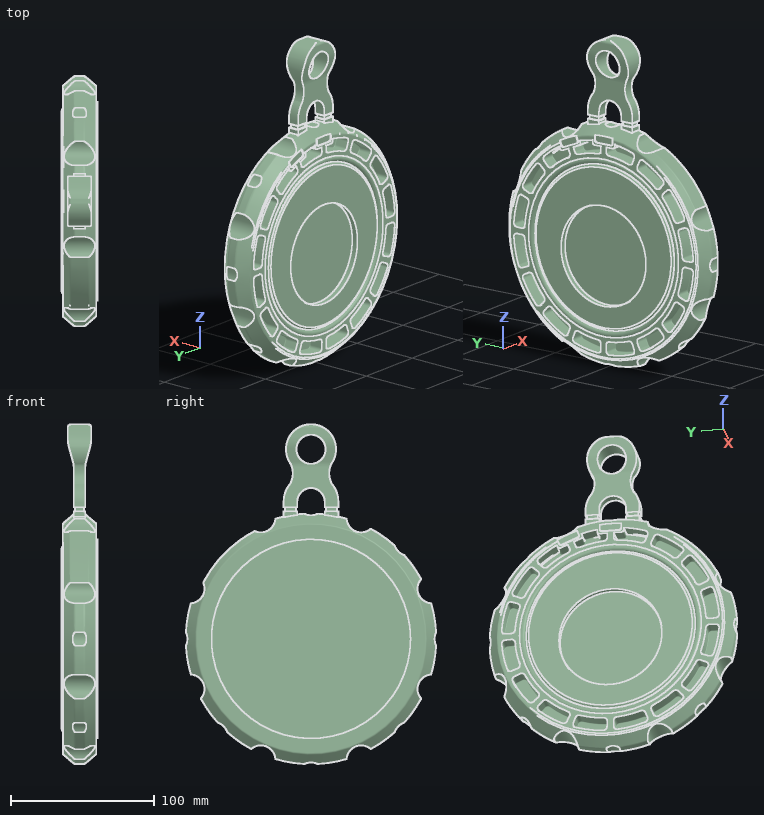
import cadquery as cq
import math


RIM_RADIUS = 87.5
RIDGE_HALF_WIDTH = 3.44
RIDGE_ROUND = 2.1
FACE_RADIUS = 80.4
FACE_ROUND = 1.7
FACE_X = 11.9
OUTER_X = 12.5
BACK_DISC_RADIUS = 139.0 / 2

BEAD_OUTER_RADIUS = 129.0 / 2
BEAD_CREST_RADIUS = 62.5
BEAD_INNER_RADIUS = 60.0
BEAD_GROOVE_X = 10.5
BEAD_ROOT = 1.2
PANEL_RADIUS = 116.1 / 2
DIAL_RADIUS = 73.0 / 2
DIAL_DROP = 6.0
DIAL_DEPTH = 4.7

SECTOR = 45
FLAT_SECTOR_ANGLE = 135
FLAT_SECTOR_RADIUS = 84.9
BIG_NOTCH_RADIUS = 20.1 / 2
BIG_NOTCH_FLOOR = 81.3
SMALL_NOTCH_RADIUS = 11.0
SMALL_NOTCH_FLOOR = 86.3

POCKET_COUNT = 16
POCKET_INNER_RADIUS = 67.8
POCKET_OUTER_RADIUS = 77.3
POCKET_SPAN = 18.8
POCKET_FLOOR_X = -1.2
POCKET_CORNER = 2.5
POCKET_FLOOR_ROUND = 0.6

PAD_ANGLES = (90, 67.5)
PAD_WIDTH = 15.2
PAD_INNER_RADIUS = 75.4
PAD_DEPTH = 0.7
PAD_CORNER = 1.7
PAD_WALL = 2.0

LUG_HEIGHT = 62.22
TOP_Z = RIM_RADIUS + LUG_HEIGHT
EYE_FLAT_DROP = 0.07
EYE_RADIUS = 17.5
EYE_HOLE_DIAMETER = 20.1
EYE_Z = TOP_Z + EYE_FLAT_DROP - EYE_RADIUS
EYE_HALF_WIDTH = 8.3
EYE_TOP_ROUND = 2.4
FLARE_TOP_Z = 136.65
FLARE_TOP_ROUND = 27.0
FLARE_BOTTOM_Z = 121.72
FLARE_BOTTOM_ROUND = 12.3
LUG_HALF_WIDTH = 4.15
ARCH_Z = 95.65
ARCH_OUTER_RADIUS = 19.2
ARCH_INNER_RADIUS = 9.5
WAIST_HALF_WIDTH = 12.8
WAIST_TOP_Z = FLARE_BOTTOM_Z
WAIST_BOTTOM_Z = 108.0
LEG_BOTTOM_Z = 91.7
STUB_TOP_Z = 89.0
STUB_BOTTOM_Z = 81.8
NECK_INSET = 1.0
NECK_ROUND = 0.6

PICK_MARGIN = 0.2


def polar(radius, degrees):
    """Point in the YZ plane, with the angle measured from +Y toward +Z."""
    angle = math.radians(degrees)
    return radius * math.cos(angle), radius * math.sin(angle)


def prism(x_start, x_end):
    """YZ workplane at x_start and the length to extrude to reach x_end."""
    return cq.Workplane("YZ", origin=(x_start, 0, 0)), x_end - x_start


def ring_sector(x_start, x_end, inner, outer, middle, span):
    plane, length = prism(x_start, x_end)
    first = middle - span / 2
    last = middle + span / 2
    return (
        plane.moveTo(*polar(inner, first))
        .lineTo(*polar(outer, first))
        .threePointArc(polar(outer, middle), polar(outer, last))
        .lineTo(*polar(inner, last))
        .threePointArc(polar(inner, middle), polar(inner, first))
        .close()
        .extrude(length)
    )


def revolve_about_x(profile):
    return profile.revolve(360, (0, 0, 0), (1, 0, 0))


def edges_within(shape, half_width):
    """Edges of the shape that lie wholly within half_width of the middle plane."""
    reach = 2 * RIM_RADIUS
    box = ((-half_width, -reach, -reach), (half_width, reach, reach))
    return shape.edges(cq.selectors.BoxSelector(*box, boundingbox=True))


def make_disc():
    """Disc with sloped flanks and a rounded ridge, lowered along one sector."""
    body = revolve_about_x(
        cq.Workplane("XY")
        .moveTo(-FACE_X, 0)
        .lineTo(-FACE_X, FACE_RADIUS)
        .lineTo(-RIDGE_HALF_WIDTH, RIM_RADIUS)
        .lineTo(RIDGE_HALF_WIDTH, RIM_RADIUS)
        .lineTo(FACE_X, FACE_RADIUS)
        .lineTo(FACE_X, 0)
        .close()
    )
    body = body.faces("<X or >X").edges().fillet(FACE_ROUND)
    ridge_edges = edges_within(body, RIDGE_HALF_WIDTH + PICK_MARGIN).edges("%CIRCLE")
    body = ridge_edges.fillet(RIDGE_ROUND)
    lowered = ring_sector(
        -FACE_X, FACE_X, FLAT_SECTOR_RADIUS, RIM_RADIUS + 2.4, FLAT_SECTOR_ANGLE, SECTOR
    )
    flat_middle = (0, *polar(FLAT_SECTOR_RADIUS, FLAT_SECTOR_ANGLE))
    flat = body.cut(lowered).faces(cq.selectors.NearestToPointSelector(flat_middle))
    return flat.edges("not |X").fillet(RIDGE_ROUND)


def add_side_steps(body):
    """Bead, groove and dial recess on the -X side, raised disc on the +X side."""
    bead = revolve_about_x(
        cq.Workplane("XY")
        .moveTo(-FACE_X, BEAD_OUTER_RADIUS)
        .threePointArc((-OUTER_X, BEAD_CREST_RADIUS), (-BEAD_GROOVE_X, BEAD_INNER_RADIUS))
        .lineTo(-BEAD_GROOVE_X + BEAD_ROOT, BEAD_INNER_RADIUS)
        .lineTo(-BEAD_GROOVE_X + BEAD_ROOT, BEAD_OUTER_RADIUS)
        .close()
    )
    groove = revolve_about_x(
        cq.Workplane("XY")
        .moveTo(-OUTER_X, BEAD_OUTER_RADIUS)
        .lineTo(-FACE_X, BEAD_OUTER_RADIUS)
        .lineTo(-BEAD_GROOVE_X, BEAD_INNER_RADIUS)
        .lineTo(-FACE_X, PANEL_RADIUS)
        .lineTo(-OUTER_X, PANEL_RADIUS)
        .close()
    )
    plane, length = prism(FACE_X, OUTER_X)
    back = plane.circle(BACK_DISC_RADIUS).extrude(length)
    plane, length = prism(-FACE_X, -FACE_X + DIAL_DEPTH)
    dial = plane.center(0, -DIAL_DROP).circle(DIAL_RADIUS).extrude(length)
    return body.cut(groove).union(bead).union(back).cut(dial)


def notch(angle, radius, floor):
    plane, length = prism(-OUTER_X, OUTER_X)
    return plane.center(*polar(floor + radius, angle)).circle(radius).extrude(length)


def cut_rim_notches(body):
    for step in range(360 // SECTOR):
        angle = step * SECTOR
        body = body.cut(notch(angle + SECTOR / 2, BIG_NOTCH_RADIUS, BIG_NOTCH_FLOOR))
        if angle != FLAT_SECTOR_ANGLE:
            body = body.cut(notch(angle, SMALL_NOTCH_RADIUS, SMALL_NOTCH_FLOOR))
    return body


def pad_block(angle, depth, wall):
    """Block over a pad, grown by wall on the sides that face the pockets."""
    plane, length = prism(-FACE_X, -FACE_X + depth)
    inner = PAD_INNER_RADIUS - wall
    block = (
        plane.center(0, (inner + RIM_RADIUS) / 2)
        .rect(PAD_WIDTH + 2 * wall, RIM_RADIUS - inner)
        .extrude(length)
        .edges("|X and <Z")
        .fillet(PAD_CORNER)
    )
    return block.rotate((0, 0, 0), (1, 0, 0), angle - 90)


def make_pocket(angle):
    pocket = ring_sector(
        -FACE_X, POCKET_FLOOR_X, POCKET_INNER_RADIUS, POCKET_OUTER_RADIUS, angle, POCKET_SPAN
    )
    pocket = pocket.edges("|X").fillet(POCKET_CORNER)
    for pad_angle in PAD_ANGLES:
        pocket = pocket.cut(pad_block(pad_angle, FACE_X, PAD_WALL))
    return pocket.faces(">X").edges().fillet(POCKET_FLOOR_ROUND)


def cut_face_details(body):
    pitch = 360 / POCKET_COUNT
    for index in range(POCKET_COUNT):
        body = body.cut(make_pocket((index + 0.5) * pitch))
    for angle in PAD_ANGLES:
        body = body.cut(pad_block(angle, PAD_DEPTH, 0))
    return body


def circle_point(radius, centre_z, z):
    """Point at height z on the +Y half of a circle centred on the Z axis."""
    return math.sqrt(radius**2 - (z - centre_z) ** 2), z


def mirrored(point):
    return -point[0], point[1]


def make_lug():
    """Hanging eye on an arch, flared along X from the thin arch to the wide eye."""
    shoulder = circle_point(ARCH_OUTER_RADIUS, ARCH_Z, (ARCH_Z + WAIST_BOTTOM_Z) / 2)
    arch_point = circle_point(ARCH_OUTER_RADIUS, ARCH_Z, WAIST_BOTTOM_Z)
    narrow_point = (WAIST_HALF_WIDTH, (WAIST_BOTTOM_Z + WAIST_TOP_Z) / 2)
    eye_point = circle_point(EYE_RADIUS, EYE_Z, WAIST_TOP_Z)
    plane, length = prism(-EYE_HALF_WIDTH, EYE_HALF_WIDTH)
    outline = (
        plane.moveTo(ARCH_OUTER_RADIUS, LEG_BOTTOM_Z)
        .lineTo(ARCH_OUTER_RADIUS, ARCH_Z)
        .threePointArc(shoulder, arch_point)
        .threePointArc(narrow_point, eye_point)
        .threePointArc((0, EYE_Z + EYE_RADIUS), mirrored(eye_point))
        .threePointArc(mirrored(narrow_point), mirrored(arch_point))
        .threePointArc(mirrored(shoulder), (-ARCH_OUTER_RADIUS, ARCH_Z))
        .lineTo(-ARCH_OUTER_RADIUS, LEG_BOTTOM_Z)
        .lineTo(-ARCH_INNER_RADIUS, LEG_BOTTOM_Z)
        .lineTo(-ARCH_INNER_RADIUS, ARCH_Z)
        .threePointArc((0, ARCH_Z + ARCH_INNER_RADIUS), (ARCH_INNER_RADIUS, ARCH_Z))
        .lineTo(ARCH_INNER_RADIUS, LEG_BOTTOM_Z)
        .close()
        .extrude(length)
    )
    flare = (
        cq.Workplane("XZ")
        .moveTo(LUG_HALF_WIDTH, LEG_BOTTOM_Z)
        .lineTo(LUG_HALF_WIDTH, FLARE_BOTTOM_Z)
        .lineTo(EYE_HALF_WIDTH, FLARE_TOP_Z)
        .lineTo(EYE_HALF_WIDTH, TOP_Z)
        .lineTo(-EYE_HALF_WIDTH, TOP_Z)
        .lineTo(-EYE_HALF_WIDTH, FLARE_TOP_Z)
        .lineTo(-LUG_HALF_WIDTH, FLARE_BOTTOM_Z)
        .lineTo(-LUG_HALF_WIDTH, LEG_BOTTOM_Z)
        .close()
        .extrude(2 * ARCH_OUTER_RADIUS, both=True)
    )
    reach = 2 * RIM_RADIUS
    for height, radius in (
        (TOP_Z, EYE_TOP_ROUND),
        (FLARE_TOP_Z, FLARE_TOP_ROUND),
        (FLARE_BOTTOM_Z, FLARE_BOTTOM_ROUND),
    ):
        level = cq.selectors.BoxSelector(
            (-reach, -reach, height - PICK_MARGIN), (reach, reach, height + PICK_MARGIN)
        )
        flare = flare.edges("|Y").edges(level).fillet(radius)
    plane, length = prism(-EYE_HALF_WIDTH, EYE_HALF_WIDTH)
    hole = plane.center(0, EYE_Z).circle(EYE_HOLE_DIAMETER / 2).extrude(length)
    return outline.intersect(flare).cut(hole)


def box_between(middle_y, half_x, half_y, bottom, top):
    middle = (0, middle_y, (bottom + top) / 2)
    return cq.Workplane(origin=middle).box(2 * half_x, 2 * half_y, top - bottom)


def make_stubs():
    """Stub on the rim under each leg, joined to the leg by a slimmer neck with a rounded top."""
    middle_y = (ARCH_OUTER_RADIUS + ARCH_INNER_RADIUS) / 2
    half_y = (ARCH_OUTER_RADIUS - ARCH_INNER_RADIUS) / 2
    neck_half_x = LUG_HALF_WIDTH - NECK_INSET
    neck_half_y = half_y - NECK_INSET
    pick_x = neck_half_x + PICK_MARGIN
    pick_y = neck_half_y + PICK_MARGIN
    stubs = []
    for y in (middle_y, -middle_y):
        stub = box_between(y, LUG_HALF_WIDTH, half_y, STUB_BOTTOM_Z, STUB_TOP_Z)
        neck = box_between(y, neck_half_x, neck_half_y, STUB_TOP_Z, LEG_BOTTOM_Z)
        leg = box_between(y, LUG_HALF_WIDTH, half_y, LEG_BOTTOM_Z, ARCH_Z)
        near_neck = cq.selectors.BoxSelector(
            (-pick_x, y - pick_y, LEG_BOTTOM_Z - PICK_MARGIN),
            (pick_x, y + pick_y, LEG_BOTTOM_Z + PICK_MARGIN),
            boundingbox=True,
        )
        hanger = neck.union(leg).edges(near_neck).fillet(NECK_ROUND)
        stubs.append(stub.union(hanger))
    return stubs[0].union(stubs[1])


disc = cut_face_details(cut_rim_notches(add_side_steps(make_disc())))
result = disc.union(make_stubs()).union(make_lug())